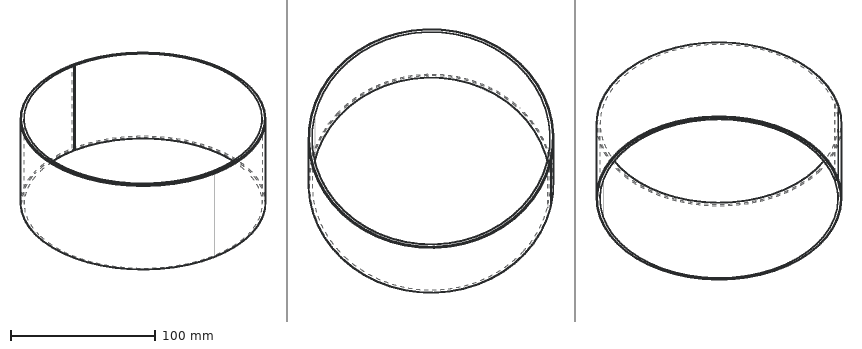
import cadquery as cq

outer_diameter = 170.0
wall_thickness = 2.5
height = 70.0
edge_chamfer = 0.7
slit_width = 1.2

outer_radius = outer_diameter / 2
inner_radius = outer_radius - wall_thickness
slit_length = 4 * wall_thickness

sleeve = (
    cq.Workplane("XY")
    .circle(outer_radius)
    .extrude(height)
    .faces("<Z or >Z")
    .chamfer(edge_chamfer)
    .faces("<Z")
    .workplane()
    .circle(inner_radius)
    .cutThruAll()
)

slit = (
    cq.Workplane("XY")
    .center(-outer_radius, slit_width / 2)
    .rect(slit_length, slit_width)
    .extrude(height)
)

result = sleeve.cut(slit)